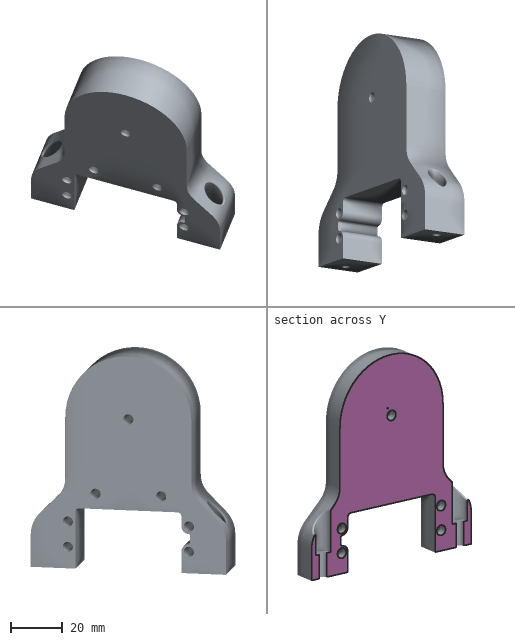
import cadquery as cq
import math

height = 85.0
width = 77.35
thickness = 18.0
dome_radius = 25.0
dome_center_z = height - dome_radius

shoulder_angle = 45.0
shoulder_base_z = 17.85
outer_blend_radius = 12.0
inner_blend_radius = 10.0

opening_half_width = 21.0
opening_top_z = 24.0
opening_corner_radius = 1.5

pin_diameter = 4.0
leg_hole_x = 24.0
leg_hole_heights = (8.5, 18.5)
blind_hole_x = 13.0
blind_hole_z = 30.0
blind_hole_depth = thickness / 2

notch_depth = 3.4
notch_corner_radius = 0.8

screw_x = 33.0
screw_diameter = 3.4
head_diameter = 7.0
head_floor_z = 10.0
rim_radius = 0.5

half_width = width / 2
overcut = 0.85
rim_box_margin = 0.1


def extrude_through(sketch):
    """Extrude an XZ sketch over the full thickness, centred on Y = 0."""
    return sketch.extrude(thickness / 2, both=True)


def make_body():
    """Domed plate widening through blended shoulders into the leg block."""
    shoulder_rise = (half_width - dome_radius) * math.tan(math.radians(shoulder_angle))
    shoulder_top_z = shoulder_base_z + shoulder_rise
    body = extrude_through(
        cq.Workplane("XZ")
        .moveTo(-half_width, 0)
        .lineTo(half_width, 0)
        .lineTo(half_width, shoulder_base_z)
        .lineTo(dome_radius, shoulder_top_z)
        .lineTo(dome_radius, dome_center_z)
        .threePointArc((0, height), (-dome_radius, dome_center_z))
        .lineTo(-dome_radius, shoulder_top_z)
        .lineTo(-half_width, shoulder_base_z)
        .close()
    )
    for corner_x, corner_z, radius in (
        (half_width, shoulder_base_z, outer_blend_radius),
        (dome_radius, shoulder_top_z, inner_blend_radius),
    ):
        for side in (-1, 1):
            corner = cq.selectors.NearestToPointSelector((side * corner_x, 0, corner_z))
            body = body.edges("|Y").edges(corner).fillet(radius)
    return body


def make_opening():
    """Cutter for the space between the legs."""
    opening = extrude_through(
        cq.Workplane("XZ")
        .moveTo(-opening_half_width, -overcut)
        .lineTo(opening_half_width, -overcut)
        .lineTo(opening_half_width, opening_top_z)
        .lineTo(-opening_half_width, opening_top_z)
        .close()
    )
    return opening.edges("|Y and >Z").fillet(opening_corner_radius)


def make_notch():
    """Cutter for the notch: mouth arcs centred on the leg holes, tangent to the floor corners."""
    lower_z, upper_z = leg_hole_heights
    mouth_radius = leg_hole_x - opening_half_width
    floor_x = opening_half_width + notch_depth

    corner_x = floor_x - notch_corner_radius
    center_distance = mouth_radius + notch_corner_radius
    offset_x = corner_x - leg_hole_x
    offset_z = math.sqrt(center_distance**2 - offset_x**2)
    joint_x = leg_hole_x + offset_x * mouth_radius / center_distance
    joint_rise = offset_z * mouth_radius / center_distance

    return extrude_through(
        cq.Workplane("XZ")
        .moveTo(opening_half_width - overcut, lower_z)
        .lineTo(opening_half_width, lower_z)
        .radiusArc((joint_x, lower_z + joint_rise), mouth_radius)
        .radiusArc((floor_x, lower_z + offset_z), -notch_corner_radius)
        .lineTo(floor_x, upper_z - offset_z)
        .radiusArc((joint_x, upper_z - joint_rise), -notch_corner_radius)
        .radiusArc((opening_half_width, upper_z), mouth_radius)
        .lineTo(opening_half_width - overcut, upper_z)
        .close()
    )


def make_cross_holes():
    """Cutters for the through holes and the two blind holes in the -Y face."""
    through_points = [(0, dome_center_z)]
    for side in (-1, 1):
        through_points += [(side * leg_hole_x, z) for z in leg_hole_heights]
    through = extrude_through(cq.Workplane("XZ").pushPoints(through_points).circle(pin_diameter / 2))
    blind = (
        cq.Workplane("XZ", origin=(0, -thickness / 2, 0))
        .pushPoints([(-blind_hole_x, blind_hole_z), (blind_hole_x, blind_hole_z)])
        .circle(pin_diameter / 2)
        .extrude(-blind_hole_depth)
    )
    return through.union(blind)


def make_screw_holes():
    """Cutters for the vertical screw holes with head recesses open above."""
    points = [(-screw_x, 0), (screw_x, 0)]
    shank = cq.Workplane("XY").pushPoints(points).circle(screw_diameter / 2).extrude(height)
    head = (
        cq.Workplane("XY", origin=(0, 0, head_floor_z))
        .pushPoints(points)
        .circle(head_diameter / 2)
        .extrude(height - head_floor_z)
    )
    return shank.union(head)


def round_recess_rims(part):
    """Round the rims where the head recesses break out through the shoulders."""
    rim_reach = head_diameter / 2 + rim_box_margin
    for side in (-1, 1):
        rim_box = cq.selectors.BoxSelector(
            (side * screw_x - rim_reach, -rim_reach, head_floor_z + overcut),
            (side * screw_x + rim_reach, rim_reach, height),
            boundingbox=True,
        )
        rim = part.edges(rim_box)
        part = rim.fillet(rim_radius)
    return part


result = make_body().cut(make_screw_holes())
result = round_recess_rims(result)
result = result.cut(make_opening()).cut(make_notch()).cut(make_cross_holes())